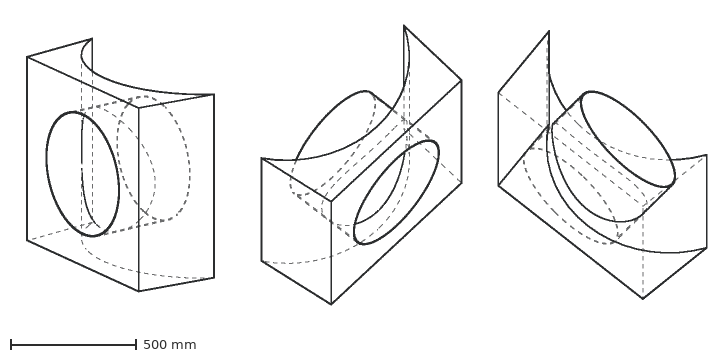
import cadquery as cq

REAR_WIDTH = 845.0
FRONT_WIDTH = 775.0
HEIGHT = 775.0
DEPTH = 345.0
SADDLE_DEPTH = 242.5

PIPE_DIAMETER = 509.0
PIPE_WALL = 4.0


def pipe_cylinder(diameter):
    """Cylinder along Y spanning the full depth of the block."""
    return (
        cq.Workplane("XZ", origin=(0, DEPTH, 0))
        .circle(diameter / 2)
        .extrude(DEPTH)
    )


def make_saddle_block():
    """Block with a concave cylindrical back and a bore that seats the pipe."""
    block = (
        cq.Workplane("XY", origin=(0, 0, -HEIGHT / 2))
        .moveTo(-FRONT_WIDTH / 2, 0)
        .lineTo(FRONT_WIDTH / 2, 0)
        .lineTo(REAR_WIDTH / 2, DEPTH)
        .threePointArc((0, DEPTH - SADDLE_DEPTH), (-REAR_WIDTH / 2, DEPTH))
        .close()
        .extrude(HEIGHT)
    )
    return block.cut(pipe_cylinder(PIPE_DIAMETER))


def make_pipe():
    """Pipe running from the front face to the level of the horn tips."""
    bore_diameter = PIPE_DIAMETER - 2 * PIPE_WALL
    return pipe_cylinder(PIPE_DIAMETER).cut(pipe_cylinder(bore_diameter))


saddle_block = make_saddle_block()
pipe = make_pipe()

result = cq.Compound.makeCompound([saddle_block.val(), pipe.val()])